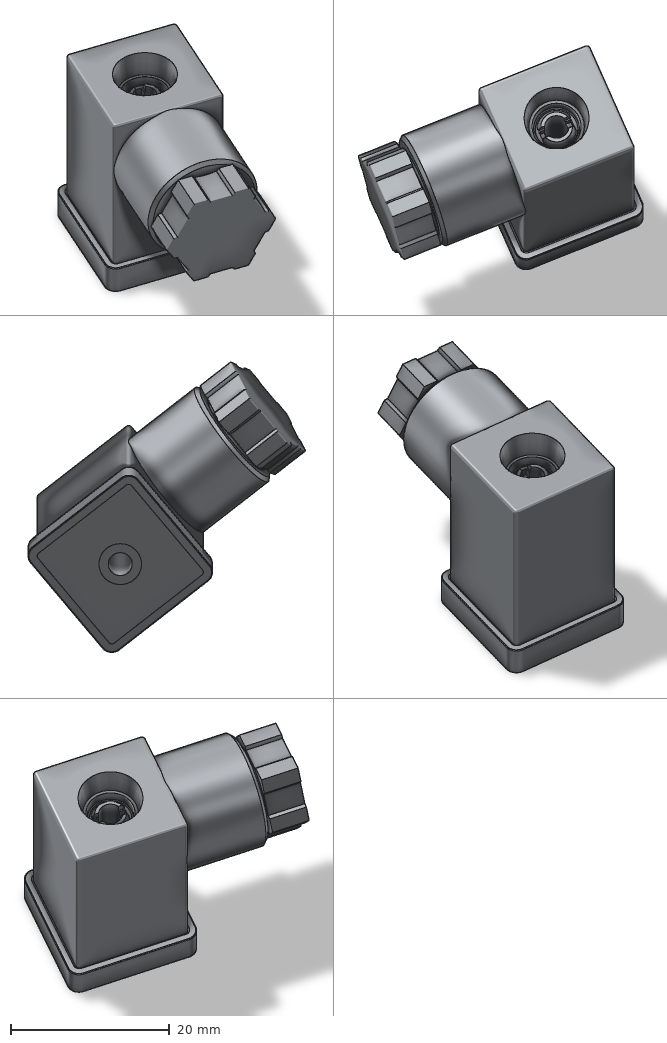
import cadquery as cq
import math

total_length = 32.7
total_height = 27.0
frame_width = 17.4
nut_end_x = total_length - frame_width / 2

frame_height = 4.0
frame_corner_radius = 1.5
frame_edge_break = 0.115
frame_opening_break = 0.25

block_width = 15.18
block_edge_radius = 0.5
outlet_diameter = 15.0
outlet_chamfer = 0.5
outlet_axis_z = total_height - block_width / 2

nut_length = 5.0
nut_corner_diameter = 15.0
nut_sides = 6
grip_width = 3.65
grip_depth = 0.4
grip_wall_angle = 40.0
nut_edge_break = 0.1
thread_length = 0.43
thread_pitch = 1.5
thread_major_radius = 12.0 / 2
thread_minor_radius = 11.0 / 2
thread_crest_angle = 60.0
thread_start_angle = -30.0
spiral_points = 8
nut_x = nut_end_x - nut_length
outlet_end_x = nut_x - thread_length

cup_top_diameter = 8.18
cup_bottom_diameter = 7.0
cup_depth = 3.2
lip_outer_diameter = 6.18
throat_diameter = 5.8
throat_bottom_depth = 4.3
cup_floor_z = total_height - cup_depth
throat_bottom_z = total_height - throat_bottom_depth

insert_diameter = 5.35
insert_bore = 3.0
post_base_diameter = 5.0
post_tip_diameter = 4.0
post_height = 0.88
post_flats = 4.38
slit_width = 1.37
groove_width = 0.95
groove_depth = 0.98
post_tip_z = throat_bottom_z + post_height


def block(height):
    """Square block with rounded upright edges."""
    box = cq.Workplane("XY").rect(block_width, block_width).extrude(height)
    return box.edges("|Z").fillet(block_edge_radius)


def cone(bottom_diameter, top_diameter, bottom_z, top_z):
    """Round frustum on the axis of the hole."""
    bottom = cq.Workplane("XY").workplane(offset=bottom_z).circle(bottom_diameter / 2)
    return bottom.workplane(offset=top_z - bottom_z).circle(top_diameter / 2).loft(ruled=True)


def cylinder(diameter, bottom_z, top_z):
    """Upright cylinder on the axis of the hole."""
    return cq.Workplane("XY").workplane(offset=bottom_z).circle(diameter / 2).extrude(top_z - bottom_z)


def outlet_plane(x):
    """Plane across the outlet axis: local x is +Y, local y is +Z."""
    return cq.Workplane("YZ", origin=(x, 0, outlet_axis_z))


def make_frame():
    frame = cq.Workplane("XY").rect(frame_width, frame_width).extrude(frame_height)
    frame = frame.edges("|Z").fillet(frame_corner_radius)
    frame = frame.faces("<Z or >Z").edges().chamfer(frame_edge_break)
    frame = frame.cut(block(frame_height))
    opening_rim = frame.faces(">Z").val().innerWires()[0]
    return frame.newObject(opening_rim.Edges()).chamfer(frame_opening_break)


def make_lip():
    """Half-round ring standing on the floor of the cup."""
    outer = lip_outer_diameter / 2
    inner = throat_diameter / 2
    crown = ((outer + inner) / 2, cup_floor_z + (outer - inner) / 2)
    profile = cq.Workplane("XZ").moveTo(outer, cup_floor_z)
    profile = profile.threePointArc(crown, (inner, cup_floor_z)).close()
    return profile.revolve(360, (0, 0, 0), (0, 1, 0))


def make_housing():
    body = block(total_height).faces(">Z").edges().fillet(block_edge_radius)
    outlet = outlet_plane(0).circle(outlet_diameter / 2).extrude(outlet_end_x)
    body = body.union(outlet.faces(">X").chamfer(outlet_chamfer))

    body = body.cut(cone(cup_bottom_diameter, cup_top_diameter, cup_floor_z, total_height))
    body = body.union(make_lip())

    body = body.cut(cylinder(throat_diameter, throat_bottom_z, cup_floor_z))
    return body.cut(cylinder(insert_diameter, 0, throat_bottom_z))


def make_insert():
    insert = cylinder(insert_diameter, 0, throat_bottom_z)

    flats = cq.Workplane("XY").box(post_flats, post_base_diameter, 2 * total_height)
    post = cone(post_base_diameter, post_tip_diameter, throat_bottom_z, post_tip_z)
    insert = insert.union(post.intersect(flats))
    insert = insert.cut(cylinder(insert_bore, 0, post_tip_z))

    slit = cq.Workplane("XY", origin=(0, 0, throat_bottom_z)).rect(post_flats, slit_width)
    groove = cq.Workplane("XY", origin=(0, 0, throat_bottom_z)).rect(post_flats, groove_width)
    return insert.cut(slit.extrude(post_height)).cut(groove.extrude(-groove_depth))


def nut_outline():
    """Hexagon with a corner on +Y and a recess with leaning walls in each flat."""
    corner_radius = nut_corner_diameter / 2
    half_side_angle = math.pi / nut_sides
    flat = corner_radius * math.cos(half_side_angle)
    half_side = corner_radius * math.sin(half_side_angle)
    half_floor = grip_width / 2 - grip_depth * math.tan(math.radians(grip_wall_angle))
    side = [
        (flat, -half_side),
        (flat, -grip_width / 2),
        (flat - grip_depth, -half_floor),
        (flat - grip_depth, half_floor),
        (flat, grip_width / 2),
    ]
    points = []
    for i in range(nut_sides):
        turn = (2 * i + 1) * half_side_angle
        for out, along in side:
            y = out * math.cos(turn) - along * math.sin(turn)
            z = out * math.sin(turn) + along * math.cos(turn)
            points.append((y, z))
    return points


def polar(radius, degrees):
    angle = math.radians(degrees)
    return (radius * math.cos(angle), radius * math.sin(angle))


def flank(start_radius, end_radius, start_angle, end_angle):
    """Points after the first on a spiral between two radii."""
    steps = [i / spiral_points for i in range(1, spiral_points + 1)]
    return [
        polar(
            start_radius + (end_radius - start_radius) * t,
            start_angle + (end_angle - start_angle) * t,
        )
        for t in steps
    ]


def make_thread():
    """Single-start thread: its cross-section, crest to root and back, twisted along X."""
    half = thread_crest_angle / 2
    crest = thread_start_angle
    root = crest + 180
    outline = (
        outlet_plane(outlet_end_x)
        .moveTo(*polar(thread_major_radius, crest - half))
        .threePointArc(polar(thread_major_radius, crest), polar(thread_major_radius, crest + half))
        .spline(
            flank(thread_major_radius, thread_minor_radius, crest + half, root - half),
            includeCurrent=True,
        )
        .threePointArc(polar(thread_minor_radius, root), polar(thread_minor_radius, root + half))
        .spline(
            flank(thread_minor_radius, thread_major_radius, root + half, crest + 360 - half),
            includeCurrent=True,
        )
        .close()
    )
    return outline.twistExtrude(thread_length, 360 * thread_length / thread_pitch)


def make_nut():
    nut = outlet_plane(nut_x).polyline(nut_outline()).close().extrude(nut_length)
    nut = nut.faces(">X").edges().fillet(nut_edge_break)
    return nut.union(make_thread())


frame = make_frame()
housing = make_housing()
insert = make_insert()
nut = make_nut()

result = cq.Compound.makeCompound([frame.val(), housing.val(), insert.val(), nut.val()])